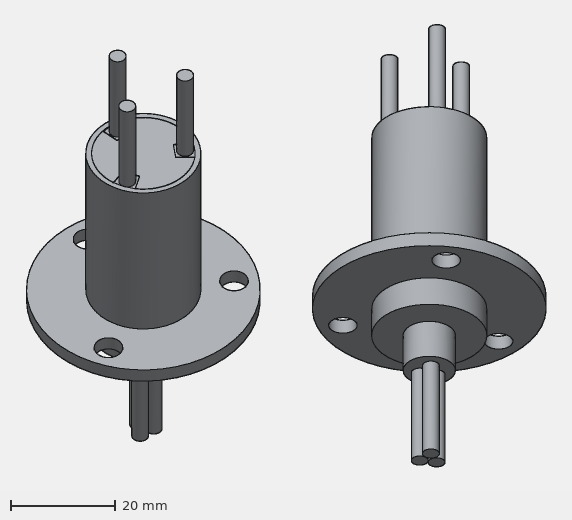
import cadquery as cq
import math

overall_height = 92.7
neck_bottom = 20.0
body_bottom = 28.0
flange_bottom = 34.0
flange_thickness = 3.0
body_top = 73.05

flange_diameter = 44.8
body_diameter = 22.1
neck_diameter = 10.0
rim_width = 1.1
cap_recess = 0.1
cap_radius = body_diameter / 2 - rim_width
cap_top = body_top - cap_recess

spoke_count = 3
first_angle = 180.0
hole_diameter = 5.5
hole_circle_radius = 17.5

wire_diameter = 3.2
upper_wire_radius = 8.1
bundle_gap = 0.05
bundle_radius = (wire_diameter + bundle_gap) / math.sqrt(3)
bundle_offset = 0.2

slot_depth = 0.2
slot_inner_radius = 6.0
slot_inner_width = 3.4
slot_outer_width = 4.6


def cylinder(diameter, bottom, top):
    return cq.Workplane("XY").workplane(offset=bottom).circle(diameter / 2).extrude(top - bottom)


def spoke_cylinders(radius, diameter, bottom, top):
    return (
        cq.Workplane("XY")
        .workplane(offset=bottom)
        .polarArray(radius, first_angle, 360, spoke_count)
        .circle(diameter / 2)
        .extrude(top - bottom)
    )


def wire_slots():
    """Tapered pockets whose outer ends follow the cap's edge."""
    floor = cap_top - slot_depth
    slots = cq.Workplane("XY")
    for index in range(spoke_count):
        slot = (
            cq.Workplane("XY")
            .workplane(offset=floor)
            .polyline([
                (slot_inner_radius, -slot_inner_width / 2),
                (cap_radius, -slot_outer_width / 2),
                (cap_radius, slot_outer_width / 2),
                (slot_inner_radius, slot_inner_width / 2),
            ])
            .close()
            .extrude(body_top - floor)
            .rotate((0, 0, 0), (0, 0, 1), first_angle + index * 360 / spoke_count)
        )
        slots = slots.add(slot)
    return slots.combine().intersect(cylinder(2 * cap_radius, floor, body_top))


flange_top = flange_bottom + flange_thickness
flange = cylinder(flange_diameter, flange_bottom, flange_top).cut(
    spoke_cylinders(hole_circle_radius, hole_diameter, flange_bottom, flange_top)
)
body = cylinder(body_diameter, body_bottom, body_top)
neck = cylinder(neck_diameter, neck_bottom, body_bottom)
housing = body.union(neck).union(flange)

housing = housing.cut(cylinder(2 * cap_radius, cap_top, body_top)).cut(wire_slots())

upper_wires = spoke_cylinders(upper_wire_radius, wire_diameter, cap_top - slot_depth, overall_height)
lower_wires = spoke_cylinders(bundle_radius, wire_diameter, 0, neck_bottom).translate((bundle_offset, 0, 0))

result = housing.union(upper_wires).union(lower_wires)